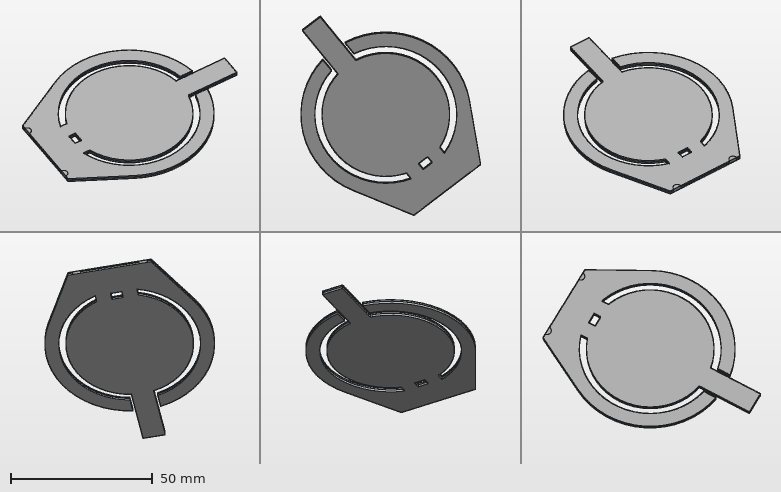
import cadquery as cq
import math

length = 77.5
base_distance = 35.0
base_width = 30.0
ring_radius = 30.0
ring_width = 4.95
disc_radius = 22.55
tab_width = 8.05
ring_gap_width = 10.0
bridge_width = 15.0

window_width = 4.0
window_height = 2.6
window_center_y = -22.55

peg_radius = 1.5
peg_spacing = 24.0

total_thickness = 1.55
lower_thickness = 0.85
upper_thickness = total_thickness - lower_thickness

base_y = -base_distance
tab_end_y = length - base_distance
slot_radius = ring_radius - ring_width


def slab(width, y_start, y_end, thickness):
    """Box centred on X, spanning y_start to y_end and rising from Z = 0."""
    return cq.Workplane("XY").box(width, y_end - y_start, thickness, centered=(True, False, False)).translate(
        (0, y_start, 0)
    )


def teardrop(thickness):
    """Round plate whose straight flanks run tangent to the ring down to the base edge."""
    half_base = base_width / 2
    corner_distance = math.hypot(half_base, base_distance)
    tangent_angle = math.atan2(base_y, half_base) + math.acos(ring_radius / corner_distance)
    tangent_x = ring_radius * math.cos(tangent_angle)
    tangent_y = ring_radius * math.sin(tangent_angle)
    return (
        cq.Workplane("XY")
        .moveTo(-half_base, base_y)
        .lineTo(half_base, base_y)
        .lineTo(tangent_x, tangent_y)
        .threePointArc((0, ring_radius), (-tangent_x, tangent_y))
        .close()
        .extrude(thickness)
    )


def ring_slot(thickness):
    """Annular gap between ring and disc, interrupted by the bridge."""
    annulus = cq.Workplane("XY").circle(slot_radius).circle(disc_radius).extrude(thickness)
    return annulus.cut(slab(bridge_width, base_y, 0, thickness))


def ring_opening(thickness):
    """Break in the top of the ring, outside the disc, that lets the tab pass."""
    disc = cq.Workplane("XY").circle(disc_radius).extrude(thickness)
    return slab(ring_gap_width, 0, tab_end_y, thickness).cut(disc)


def plate(thickness):
    """Flat plate with disc, tab, open ring, bridge and window."""
    window_start_y = window_center_y - window_height / 2
    window = slab(window_width, window_start_y, window_start_y + window_height, thickness)
    tab = slab(tab_width, 0, tab_end_y, thickness)
    body = teardrop(thickness).cut(ring_slot(thickness)).cut(ring_opening(thickness))
    return body.union(tab).cut(window)


def pegs(height):
    """Pair of half-round pegs, flat side flush with the base edge."""
    centers = [(-peg_spacing / 2, base_y), (peg_spacing / 2, base_y)]
    rounds = cq.Workplane("XY").pushPoints(centers).circle(peg_radius).extrude(height)
    return rounds.intersect(slab(base_width, base_y, 0, height))


lower_plate = plate(lower_thickness).union(pegs(total_thickness))

upper_plate = plate(upper_thickness).translate((0, 0, lower_thickness)).cut(pegs(total_thickness))

result = cq.Compound.makeCompound([lower_plate.solids().val(), upper_plate.solids().val()])